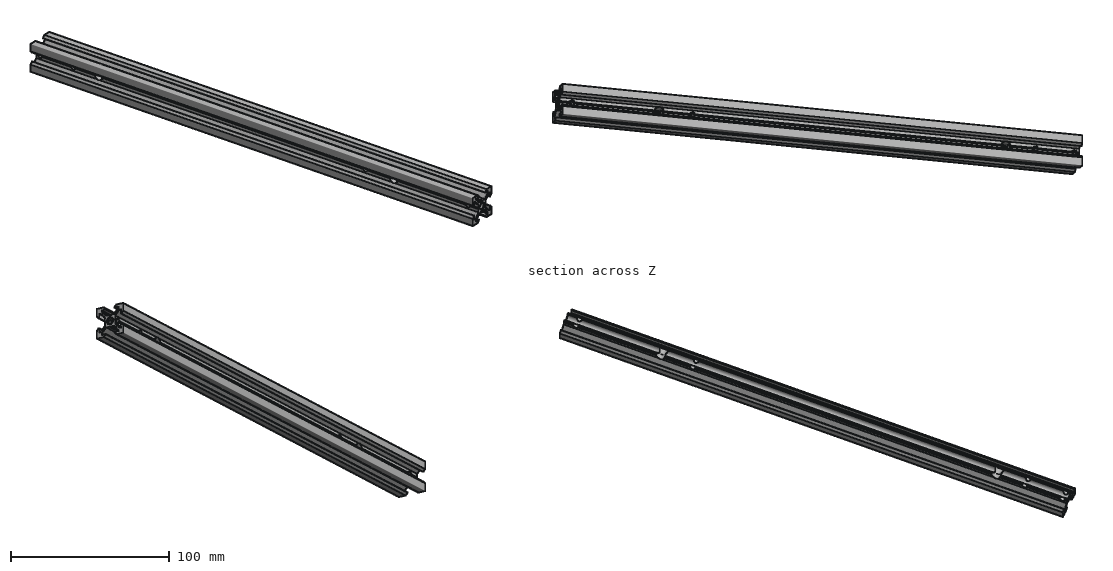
import cadquery as cq
import math

LENGTH = 345.0
SIDE = 20.0
HALF = SIDE / 2
CORNER_RADIUS = 0.17

BORE_DIAMETER = 4.0
BORE_CHAMFER = 0.5

THROAT_HALF = 3.2
MOUTH_CHAMFER = 1.55
MOUTH_HALF = THROAT_HALF + MOUTH_CHAMFER
CHAMBER_HALF = 6.2
LIP_THICKNESS = 1.83
CORE_WALL = 1.83
CORE_HALF = BORE_DIAMETER / 2 + CORE_WALL
RIB_THICKNESS = 1.6
GUIDE_HALF = 0.5
GUIDE_DEPTH = 0.5

SMALL_HOLE_DIAMETER = 3.3
LARGE_HOLE_DIAMETER = 6.0
SMALL_HOLE_PLACES = (3.0, 29.0, 256.7, 336.7)
LARGE_HOLE_PLACES = (48.5, 278.8)


def make_slot():
    """One T-slot with a V-shaped mouth, opening toward +Z and running along X."""
    rib_shift = RIB_THICKNESS / math.sqrt(2)
    lip_inner = HALF - LIP_THICKNESS
    throat_top = HALF - MOUTH_CHAMFER
    right_side = [
        (GUIDE_HALF, CORE_HALF),
        (CORE_HALF - rib_shift, CORE_HALF),
        (CHAMBER_HALF, CHAMBER_HALF + rib_shift),
        (CHAMBER_HALF, lip_inner),
        (THROAT_HALF, lip_inner),
        (THROAT_HALF, throat_top),
        (MOUTH_HALF, HALF),
    ]
    left_side = [(-y, z) for y, z in reversed(right_side)]
    guide_tip = (0, CORE_HALF - GUIDE_DEPTH)
    outline = [guide_tip] + right_side + left_side
    return cq.Workplane("YZ").polyline(outline).close().extrude(LENGTH)


def make_bore():
    """Round bore along X, widened by a 45 degree chamfer at each end."""
    radius = BORE_DIAMETER / 2
    mouth_radius = radius + BORE_CHAMFER
    outline = [
        (0, 0),
        (0, mouth_radius),
        (BORE_CHAMFER, radius),
        (LENGTH - BORE_CHAMFER, radius),
        (LENGTH, mouth_radius),
        (LENGTH, 0),
    ]
    return cq.Workplane("XZ").polyline(outline).close().revolve(360, (0, 0, 0), (1, 0, 0))


def make_cross_holes(places, diameter):
    """Round holes through the whole part along Y."""
    return (
        cq.Workplane("XZ", origin=(0, HALF, 0))
        .pushPoints([(x, 0) for x in places])
        .circle(diameter / 2)
        .extrude(SIDE)
    )


body = cq.Workplane("YZ").rect(SIDE, SIDE).extrude(LENGTH).edges("|X").fillet(CORNER_RADIUS)

slot = make_slot()
for quarter_turn in range(4):
    body = body.cut(slot.rotate((0, 0, 0), (1, 0, 0), 90 * quarter_turn))

body = body.cut(make_bore())

body = body.cut(make_cross_holes(SMALL_HOLE_PLACES, SMALL_HOLE_DIAMETER))
result = body.cut(make_cross_holes(LARGE_HOLE_PLACES, LARGE_HOLE_DIAMETER))